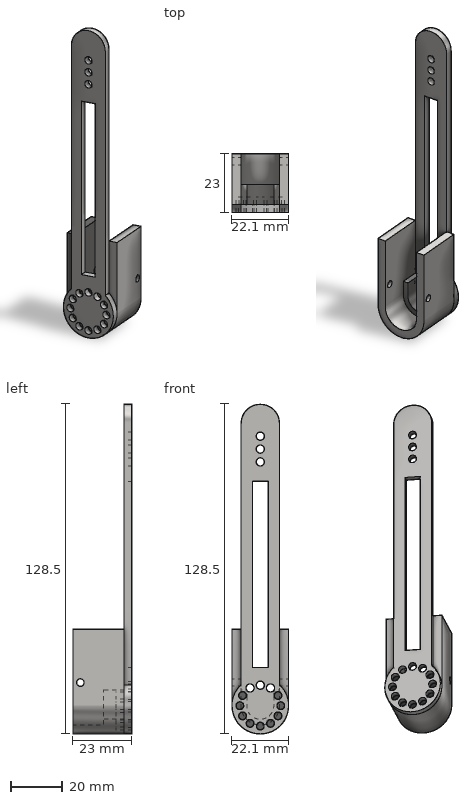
import cadquery as cq
import math

total_height = 128.5
total_depth = 23.0
hub_diameter = 22.1
hub_radius = hub_diameter / 2

plate_thickness = 3.1
arm_width = 15.0
arm_end_radius = arm_width / 2
arm_end_z = total_height - hub_radius - arm_end_radius
slot_width = 6.0
slot_bottom_z = 14.9
slot_length = 72.5
tip_hole_diameter = 3.1
tip_hole_pitch = 5.0
tip_hole_count = 3
lowest_tip_hole_z = 95.0
ring_hole_diameter = 3.1
ring_radius = 8.0
ring_hole_count = 12

housing_depth = total_depth - plate_thickness
wall_top_z = 29.8
channel_width = arm_width
rear_channel_depth = 12.0
seat_z = 6.0
seat_groove_width = 10.5
socket_diameter = 2.8
socket_depth = plate_thickness
side_hole_diameter = 2.8
side_hole_z = 9.0
side_hole_rear_distance = 3.0

front_y = 0.0
joint_y = front_y + plate_thickness
rear_y = front_y + total_depth
channel_step_y = rear_y - rear_channel_depth


def block(width, y_start, depth, bottom_z, top_z):
    """Box centred on X, starting at y_start and spanning the given heights."""
    return cq.Workplane("XY").box(width, depth, top_z - bottom_z, centered=(True, False, False)).translate(
        (0, y_start, bottom_z)
    )


def cylinder_y(diameter, y_start, depth, x=0.0, z=0.0):
    """Cylinder along +Y, starting at y_start."""
    return cq.Workplane(cq.Solid.makeCylinder(diameter / 2, depth, cq.Vector(x, y_start, z), cq.Vector(0, 1, 0)))


def round_bottom_block(width, y_start, depth, top_z):
    """Upright U shape: a block whose lower end is a half cylinder on the hub axis."""
    return block(width, y_start, depth, 0, top_z).union(cylinder_y(width, y_start, depth))


def ring_positions():
    """X and Z of the holes spaced evenly around the hub axis, starting at the top."""
    angles = [2 * math.pi * index / ring_hole_count for index in range(ring_hole_count)]
    return [(ring_radius * math.sin(angle), ring_radius * math.cos(angle)) for angle in angles]


def make_arm_plate():
    """Long arm with a round tip and a round hub, a slot and two groups of holes."""
    plate = cylinder_y(hub_diameter, front_y, plate_thickness)
    plate = plate.union(block(arm_width, front_y, plate_thickness, 0, arm_end_z))
    plate = plate.union(cylinder_y(arm_width, front_y, plate_thickness, z=arm_end_z))

    slot_top_z = slot_bottom_z + slot_length
    plate = plate.cut(block(slot_width, front_y, plate_thickness, slot_bottom_z, slot_top_z))

    for index in range(tip_hole_count):
        hole_z = lowest_tip_hole_z + index * tip_hole_pitch
        plate = plate.cut(cylinder_y(tip_hole_diameter, front_y, plate_thickness, z=hole_z))

    for hole_x, hole_z in ring_positions():
        plate = plate.cut(cylinder_y(ring_hole_diameter, front_y, plate_thickness, hole_x, hole_z))
    return plate


def make_housing():
    """U-shaped channel behind the plate, with a raised, grooved seat at its front."""
    body = round_bottom_block(hub_diameter, joint_y, housing_depth, wall_top_z)

    body = body.cut(round_bottom_block(channel_width, channel_step_y, rear_channel_depth, wall_top_z))

    seat_depth = channel_step_y - joint_y
    body = body.cut(block(channel_width, joint_y, seat_depth, seat_z, wall_top_z))
    body = body.cut(round_bottom_block(seat_groove_width, joint_y, seat_depth, wall_top_z))

    for socket_x, socket_z in ring_positions():
        if socket_z < seat_z:
            body = body.cut(cylinder_y(socket_diameter, joint_y, socket_depth, socket_x, socket_z))

    hole_start = cq.Vector(-hub_radius, rear_y - side_hole_rear_distance, side_hole_z)
    cross_hole = cq.Solid.makeCylinder(side_hole_diameter / 2, hub_diameter, hole_start, cq.Vector(1, 0, 0))
    return body.cut(cq.Workplane(cross_hole))


arm_plate = make_arm_plate()
housing = make_housing()
result = cq.Compound.makeCompound([arm_plate.val(), housing.val()])